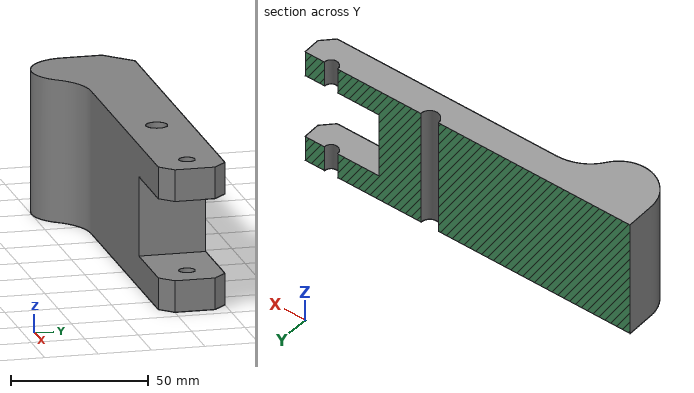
import cadquery as cq
import math

length = 150.0
height = 54.0
arm_thickness = 25.0

nose_radius = 15.0
blend_radius = 20.0

heel_chamfer = 10.0
tip_chamfer = 5.0

lug_height = 12.0
slot_depth = 34.0

arm_hole_diameter = 8.0
arm_hole_x = 92.5
lug_hole_diameter = 6.0
lug_hole_x = length - 12.0

front_y = nose_radius
back_y = front_y + arm_thickness
mid_y = (front_y + back_y) / 2


def arm_profile():
    """Closed XY outline with the nose blended tangentially into the front face."""
    nose_x = nose_radius
    nose_y = front_y
    centre_distance = nose_radius + blend_radius
    blend_x = nose_x + math.sqrt(centre_distance**2 - blend_radius**2)
    blend_y = front_y - blend_radius

    nose_share = nose_radius / centre_distance
    touch_x = nose_x + nose_share * (blend_x - nose_x)
    touch_y = nose_y + nose_share * (blend_y - nose_y)

    touch_angle = math.atan2(nose_y - blend_y, nose_x - blend_x)
    blend_mid_angle = (touch_angle + math.pi / 2) / 2
    blend_mid_x = blend_x + blend_radius * math.cos(blend_mid_angle)
    blend_mid_y = blend_y + blend_radius * math.sin(blend_mid_angle)

    return (
        cq.Workplane("XY")
        .moveTo(0, back_y - heel_chamfer)
        .lineTo(0, nose_y)
        .threePointArc((nose_x, nose_y - nose_radius), (touch_x, touch_y))
        .threePointArc((blend_mid_x, blend_mid_y), (blend_x, front_y))
        .lineTo(length - tip_chamfer, front_y)
        .lineTo(length, front_y + tip_chamfer)
        .lineTo(length, back_y - tip_chamfer)
        .lineTo(length - tip_chamfer, back_y)
        .lineTo(heel_chamfer, back_y)
        .close()
    )


def fork_slot():
    """Block that separates the two lugs, open at the +X end."""
    slot_height = height - 2 * lug_height
    return (
        cq.Workplane("XY")
        .box(slot_depth, arm_thickness, slot_height, centered=False)
        .translate((length - slot_depth, front_y, lug_height))
    )


def vertical_hole(x, diameter):
    """Cylinder through the full height on the arm's centre plane."""
    return cq.Workplane("XY").center(x, mid_y).circle(diameter / 2).extrude(height)


result = arm_profile().extrude(height)
result = result.cut(fork_slot())
result = result.cut(vertical_hole(arm_hole_x, arm_hole_diameter))
result = result.cut(vertical_hole(lug_hole_x, lug_hole_diameter))